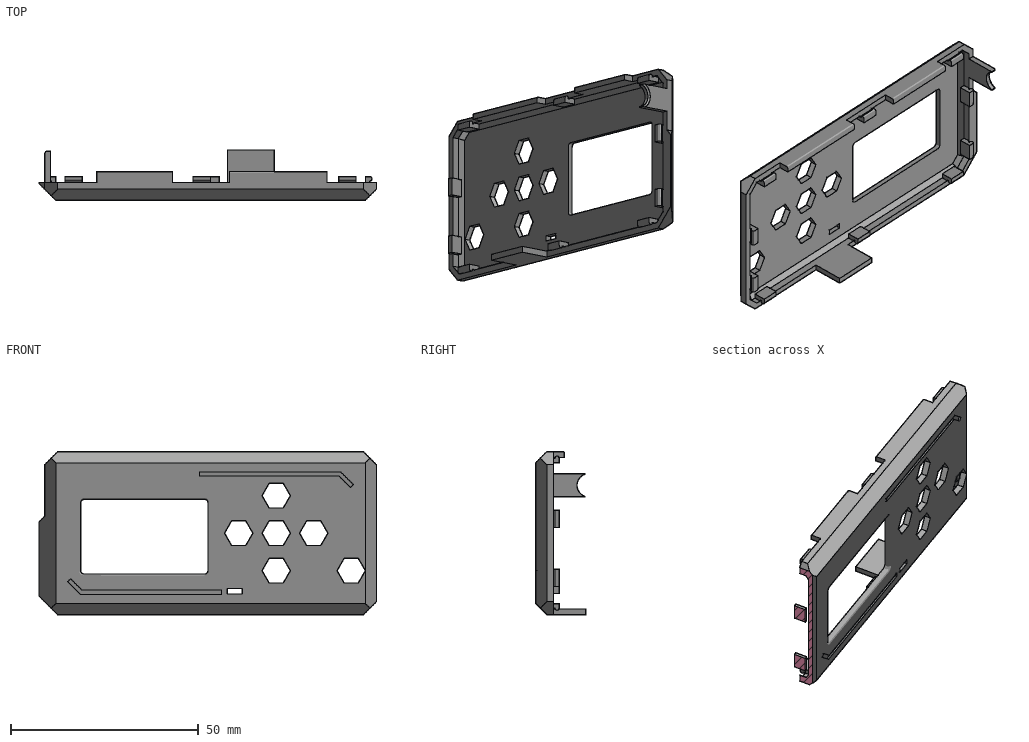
import cadquery as cq
import math


plate_width = 88.5
plate_height = 43.5
rim_depth = 4.8
front_chamfer = 3.0
bevel_angle = 45
corner_cut = 3.5
half_width = plate_width / 2
half_height = plate_height / 2

wall = 1.6
face_thickness = 1.7
cavity_chamfer = 1.2
cavity_corner_cut = corner_cut - wall * (2 - math.sqrt(2))
inner_x = half_width - wall
inner_z = half_height - wall

ledge_width = 1.5
ledge_top = 4.5

window_x = -17.65
window_z = -0.95
window_width = 33.9
window_height = 19.8
window_rounding = 0.65
window_corner = 0.9

hex_flats = 6.5
button_pitch = 10.0
pad_x = 17.5
button_steps = [(0, 0), (-1, 0), (1, 0), (0, 1), (0, -1), (2, -1)]

groove_width = 1.1
groove_depth = 0.5
groove_start = 2.9
groove_bend = 34.5
groove_z = 15.75
groove_run = 3.2
slot_x = 6.45
slot_z = -15.5
slot_width = 3.9
slot_height = 1.4

top_tab_depth = 7.7
top_tab_rounding = 0.45
top_tab_spans = [(-30.4, -10.1), (5.1, 31.1)]
bottom_tab_depth = 13.45
bottom_tab_span = (4.5, 17.0)

post_depth = 13.15
post_z = 12.75
post_height = 6.2
post_edge_chamfer = 0.45
notch_y = 14.2
notch_radius = 3.1
notch_countersink = 0.45

lip_length = 4.65
lip_thickness = 1.4
lip_depth = 6.35
lip_root = 3.0
bead_overhang = 0.4
bead_radius = 0.6
outer_lip_x = 36.5
top_lip_x = [-outer_lip_x, -2.4, outer_lip_x]
bottom_lip_x = [-outer_lip_x, 0.0, outer_lip_x]
left_lip_z = [3.8, -13.8]
right_lip_z = [3.8, -11.9]


def box(x_span, y_span, z_span):
    """Box between the given limits."""
    size = [high - low for low, high in (x_span, y_span, z_span)]
    return cq.Workplane("XY").box(*size, centered=False).translate((x_span[0], y_span[0], z_span[0]))


def front_plane(depth=0.0):
    """Sketch plane parallel to the front face; local axes are X and Z, extrudes run towards -Y."""
    return cq.Workplane("XZ", origin=(0, depth, 0))


def make_plate():
    """Solid plate with its left ledge, bevelled front edges and cut corners."""
    left = -half_width - ledge_width
    ledge_bottom = -half_height + corner_cut + ledge_width
    outline = [
        (-half_width + corner_cut, half_height),
        (half_width - corner_cut, half_height),
        (half_width, half_height - corner_cut),
        (half_width, -half_height + corner_cut),
        (half_width - corner_cut, -half_height),
        (-half_width + corner_cut, -half_height),
        (left, ledge_bottom),
        (left, ledge_top - ledge_width),
        (-half_width, ledge_top),
        (-half_width, half_height - corner_cut),
    ]
    prism = front_plane().polyline(outline).close().extrude(-rim_depth)
    growth = rim_depth - front_chamfer
    bevel = (
        front_plane(rim_depth)
        .rect(plate_width + 2 * growth, plate_height + 2 * growth)
        .extrude(rim_depth, taper=bevel_angle)
    )
    return prism.intersect(bevel)


def make_cavity():
    """Hollow behind the front face, with cut corners and bevelled floor edges."""
    cavity = box((-inner_x, inner_x), (face_thickness, rim_depth), (-inner_z, inner_z))
    cavity = cavity.edges("|Y").chamfer(cavity_corner_cut)
    return cavity.faces("<Y").edges().chamfer(cavity_chamfer)


def cut_window(body):
    """Cut the display opening and round its edge at the front face."""
    opening = (
        front_plane()
        .center(window_x, window_z)
        .rect(window_width, window_height)
        .extrude(-rim_depth)
        .edges("|Y")
        .fillet(window_corner)
    )
    opened = body.cut(opening)
    front_edge = opened.faces("<Y").wires(cq.selectors.NearestToPointSelector((window_x, 0, window_z)))
    return front_edge.edges().fillet(window_rounding)


def make_buttons():
    """Hexagonal holes of the direction pad and the separate button."""
    centres = [(pad_x + i * button_pitch, j * button_pitch) for i, j in button_steps]
    hex_diameter = hex_flats / math.cos(math.pi / 6)
    return front_plane().pushPoints(centres).polygon(6, hex_diameter).extrude(-rim_depth)


def make_groove(sign):
    """Bent groove in the front face; sign -1 turns it half round the plate centre."""
    half = groove_width / 2
    bend_shift = half * math.tan(math.pi / 8)
    diagonal = half / math.sqrt(2)
    tip_x = groove_bend + groove_run
    tip_z = groove_z - groove_run
    outline = [
        (-groove_start, groove_z + half),
        (groove_bend + bend_shift, groove_z + half),
        (tip_x + diagonal, tip_z + diagonal),
        (tip_x - diagonal, tip_z - diagonal),
        (groove_bend - bend_shift, groove_z - half),
        (-groove_start, groove_z - half),
    ]
    points = [(sign * x, sign * z) for x, z in outline]
    return front_plane().polyline(points).close().extrude(-groove_depth)


def make_slot():
    """Indicator slot through the front face."""
    return front_plane().center(slot_x, slot_z).rect(slot_width, slot_height).extrude(-rim_depth)


def make_top_tab(span):
    """Tab behind the top wall, with its outer back edge rounded."""
    tab = box(span, (rim_depth, top_tab_depth), (inner_z, half_height))
    return tab.edges(">Y and >Z").fillet(top_tab_rounding)


def make_bottom_tab():
    """Long tab behind the bottom wall."""
    return box(bottom_tab_span, (rim_depth, bottom_tab_depth), (-half_height, -inner_z))


def make_post():
    """Post behind the left wall; the notch in its tip is wider at the outer face."""
    z_span = (post_z - post_height / 2, post_z + post_height / 2)
    post = box((-half_width, -inner_x), (rim_depth, post_depth), z_span)
    post = post.edges(">Y and <X").chamfer(post_edge_chamfer)
    notch = (
        cq.Workplane("YZ", origin=(-half_width, notch_y, post_z))
        .circle(notch_radius + notch_countersink)
        .workplane(offset=notch_countersink)
        .circle(notch_radius)
        .loft()
        .faces(">X")
        .workplane()
        .circle(notch_radius)
        .extrude(wall)
    )
    return post.cut(notch)


def make_lip(wall_distance, position, turns):
    """Snap lip on the top wall, moved to another wall by quarter turns about Y.

    The root rests against the inside of the wall; the rounded bead behind the rim reaches over it.
    """
    inner_face = wall_distance - lip_thickness
    bead_top = wall_distance + bead_overhang
    neck_face = bead_top - bead_radius
    lip = (
        cq.Workplane("YZ", origin=(-lip_length / 2, 0, 0))
        .moveTo(lip_root, inner_face)
        .lineTo(lip_depth, inner_face)
        .lineTo(lip_depth, neck_face)
        .threePointArc((lip_depth - bead_radius, bead_top), (lip_depth - 2 * bead_radius, neck_face))
        .lineTo(rim_depth, neck_face)
        .lineTo(rim_depth, wall_distance)
        .lineTo(lip_root, wall_distance)
        .close()
        .extrude(lip_length)
        .rotate((0, 0, 0), (0, 1, 0), 90 * turns)
    )
    return lip.translate(position)


plate = cut_window(make_plate().cut(make_cavity()))
for cutter in (make_buttons(), make_slot(), make_groove(1), make_groove(-1)):
    plate = plate.cut(cutter)

for tab_span in top_tab_spans:
    plate = plate.union(make_top_tab(tab_span))
plate = plate.union(make_bottom_tab()).union(make_post())

for lip_x in top_lip_x:
    plate = plate.union(make_lip(inner_z, (lip_x, 0, 0), 0))
for lip_x in bottom_lip_x:
    plate = plate.union(make_lip(inner_z, (lip_x, 0, 0), 2))
for lip_z in right_lip_z:
    plate = plate.union(make_lip(inner_x, (0, 0, lip_z), 1))
for lip_z in left_lip_z:
    plate = plate.union(make_lip(inner_x, (0, 0, lip_z), 3))

result = plate